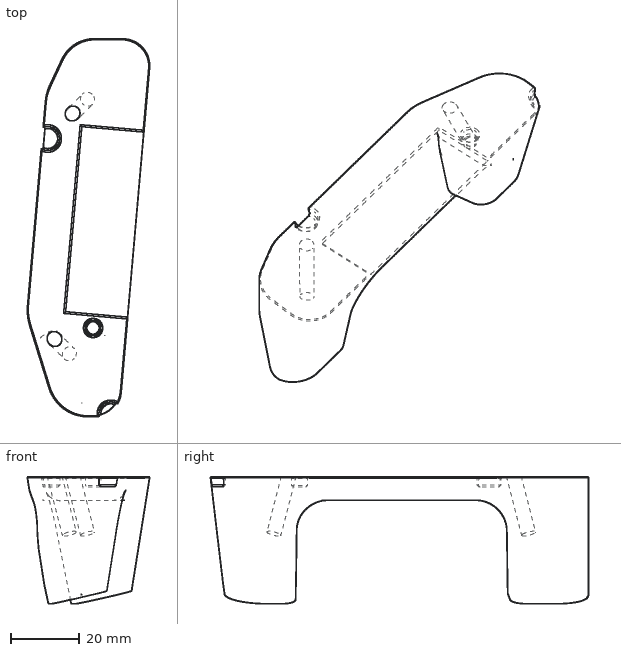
import cadquery as cq
import math

LEAN = 5.0
LENGTH = 110.6
HEIGHT = 37.3
SIDE_U = (-2.7, 26.9)
MIDDLE_U = sum(SIDE_U) / 2

NEAR_CHAMFER_SLOPE = 17.2
FAR_CHAMFER_SLOPE = 25.0
NEAR_CHAMFER_X = 9.1
FAR_CHAMFER_X = 13.0

LEFT_DRAFT = 11.4
RIGHT_DRAFT = 9.0
END_DRAFT = 6.7
FOOT_SLOPE = 13.0
FOOT_LOW_U = 5.3

NEAR_LEFT_RADIUS = 11.9
FAR_LEFT_RADIUS = 10.5
RIGHT_RADIUS = 8.0

ARCH_V = (25.9, 88.7)
DECK_THICKNESS = 7.0
ARCH_RADIUS = 8.8
ARCH_EDGE_RADIUS = 5.0

TOP_CHAMFER = 0.3
FOOT_EDGE_RADIUS = 0.5

POCKET_U = 8.1
POCKET_V = (31.1, 86.5)
POCKET_DEPTH = 0.5

NOTCH_DIAMETER = 7.0
NOTCH_RIM_DIAMETER = 8.1
RECESS_DEPTH = 3.0
NOTCH_CENTRES = ((6.1, 81.4), (24.5, 0.9))
SOCKET_DIAMETER = 4.6
SOCKET_RIM_DIAMETER = 5.6
SOCKET_CENTRE = (19.3, 26.0)

DUCT_DIAMETER = 4.2
DUCT_LENGTH = 17.7
DUCT_TILT = 20.0
DUCTS = (((13.4, 88.7), 45.0), ((8.1, 22.8), -45.0))

WALL_SLOPE = 45.0
RIM_OFFSET = 8.8
TOLERANCE = 0.001
REACH = 221.1
SINK = 55.3


def tan(degrees):
    return math.tan(math.radians(degrees))


def lean(shape):
    return shape.rotate((0, 0, 0), (0, 0, 1), -LEAN)


def across(point):
    """The u coordinate of a point."""
    angle = math.radians(LEAN)
    return point.x * math.cos(angle) - point.y * math.sin(angle)


def side_x(u, y):
    """X of the long side at the given u, where it passes the given y."""
    return u / math.cos(math.radians(LEAN)) + y * tan(LEAN)


def prism(points):
    return cq.Workplane("XY").polyline(points).close().extrude(-SINK)


def uz_prism(points):
    """Bar along v with the given outline in u and z."""
    bar = cq.Workplane("XZ").polyline(points).close().extrude(REACH, both=True)
    return lean(bar)


def blank():
    """Sharp-cornered block with drafted long sides and a drafted near end."""
    left = SIDE_U[0] - TOP_CHAMFER * tan(LEFT_DRAFT)
    right = SIDE_U[1] + TOP_CHAMFER * tan(RIGHT_DRAFT)
    near_y = -TOP_CHAMFER * tan(END_DRAFT)
    near_bend_y = (NEAR_CHAMFER_X - side_x(left, 0)) / (tan(NEAR_CHAMFER_SLOPE) + tan(LEAN))
    far_drop = (FAR_CHAMFER_X - side_x(left, LENGTH)) / (tan(FAR_CHAMFER_SLOPE) - tan(LEAN))
    far_bend_y = LENGTH - far_drop
    body = prism([
        (NEAR_CHAMFER_X - near_y * tan(NEAR_CHAMFER_SLOPE), near_y),
        (side_x(right, near_y), near_y),
        (side_x(right, LENGTH), LENGTH),
        (FAR_CHAMFER_X, LENGTH),
        (side_x(left, far_bend_y), far_bend_y),
        (side_x(left, near_bend_y), near_bend_y),
    ])
    sides = uz_prism([
        (left, 0),
        (right, 0),
        (right - SINK * tan(RIGHT_DRAFT), -SINK),
        (left + SINK * tan(LEFT_DRAFT), -SINK),
    ])
    end = (
        cq.Workplane("YZ")
        .polyline([(near_y, 0), (REACH, 0), (REACH, -SINK), (near_y + SINK * tan(END_DRAFT), -SINK)])
        .close()
        .extrude(REACH, both=True)
    )
    return body.intersect(sides).intersect(end)


def wall_edges(body, on_right, at_far_end):
    """Edges between neighbouring walls in one corner region of the blank."""
    def wanted(edge):
        middle = edge.Center()
        is_right = across(middle) > MIDDLE_U
        is_far = middle.y > LENGTH / 2
        return edge.BoundingBox().zlen > 0.1 and (is_right, is_far) == (on_right, at_far_end)
    return [edge for edge in body.edges().vals() if wanted(edge)]


def rounded_blank():
    """The blank common to four copies, each rounded in one corner region."""
    sharp = blank()
    body = sharp
    for on_right, at_far_end, radius in (
        (False, False, NEAR_LEFT_RADIUS),
        (False, True, FAR_LEFT_RADIUS),
        (True, False, RIGHT_RADIUS),
        (True, True, RIGHT_RADIUS),
    ):
        edges = wall_edges(sharp, on_right, at_far_end)
        body = body.intersect(sharp.newObject(edges).fillet(radius))
    return body


def foot_z(u):
    return -HEIGHT + (u - FOOT_LOW_U) * tan(FOOT_SLOPE)


def trim_feet(body):
    left, right = SIDE_U
    below = uz_prism([
        (left, foot_z(left)),
        (right, foot_z(right)),
        (right, -REACH),
        (left, -REACH),
    ])
    return body.cut(below)


def opening():
    start, end = ARCH_V
    height = REACH - DECK_THICKNESS
    block = (
        cq.Workplane("XY")
        .box(REACH, end - start, height, centered=(True, False, False))
        .translate((0, start, -REACH))
        .edges("|X and >Z")
        .fillet(ARCH_RADIUS)
    )
    return lean(block)


def cut_arch(body):
    """Cut the opening and round its rims along both long sides."""
    tool = opening()
    body = body.cut(tool)

    def on_rim(edge):
        middle = edge.positionAt(0.5)
        on_tool = tool.val().distance(cq.Vertex.makeVertex(*middle.toTuple())) < TOLERANCE
        return on_tool and abs(across(middle) - MIDDLE_U) > RIM_OFFSET

    rim = [edge for edge in body.edges().vals() if on_rim(edge)]
    return body.newObject(rim).fillet(ARCH_EDGE_RADIUS)


def round_feet_edges(body):
    normal = cq.Vector(0, 0, -1)

    def is_foot(face):
        return face.Center().z < -HEIGHT * 0.8 and face.normalAt().dot(normal) > 0.9

    feet = [face for face in body.faces("%PLANE").vals() if is_foot(face)]
    return body.newObject(feet).edges().fillet(FOOT_EDGE_RADIUS)


def cut_pocket(body):
    """Shallow step on the deck with walls sloping at 45 degrees, running out at the +u side."""
    start, end = POCKET_V
    pocket = (
        cq.Workplane("XY")
        .rect(REACH, end - start)
        .extrude(-POCKET_DEPTH, taper=WALL_SLOPE)
        .translate((POCKET_U + REACH / 2, (start + end) / 2, 0))
    )
    return body.cut(lean(pocket))


def cut_recess(body, centre, diameter, rim_diameter):
    """Round blind recess whose rim and floor carry equal chamfers."""
    bevel = (rim_diameter - diameter) / 2
    plan = cq.Workplane("XY").center(*centre)
    bore = plan.circle(diameter / 2).extrude(-RECESS_DEPTH).faces("<Z").chamfer(bevel)
    rim = plan.circle(rim_diameter / 2).extrude(-bevel, taper=WALL_SLOPE)
    return body.cut(bore).cut(rim)


def cut_duct(body, entry, heading):
    """Blind round duct that descends into a leg along the given heading."""
    duct = (
        cq.Workplane("XY")
        .workplane(offset=DUCT_DIAMETER)
        .circle(DUCT_DIAMETER / 2)
        .extrude(-DUCT_DIAMETER - DUCT_LENGTH)
        .rotate((0, 0, 0), (0, 1, 0), -DUCT_TILT)
        .rotate((0, 0, 0), (0, 0, 1), heading)
        .translate((*entry, 0))
    )
    return body.cut(duct)


body = trim_feet(rounded_blank())
body = cut_arch(body)
body = body.faces(">Z").chamfer(TOP_CHAMFER)
body = round_feet_edges(body)
body = cut_pocket(body)
for notch_centre in NOTCH_CENTRES:
    body = cut_recess(body, notch_centre, NOTCH_DIAMETER, NOTCH_RIM_DIAMETER)
body = cut_recess(body, SOCKET_CENTRE, SOCKET_DIAMETER, SOCKET_RIM_DIAMETER)
for entry_point, descent_heading in DUCTS:
    body = cut_duct(body, entry_point, descent_heading)
result = body